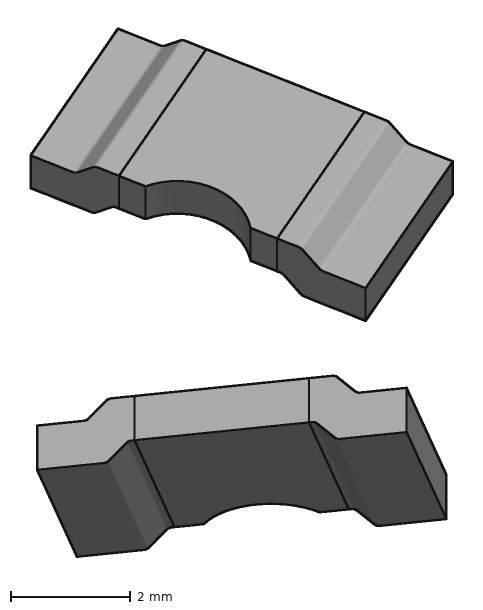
import cadquery as cq
import math

length = 6.35
width = 3.17
height = 1.22
thickness = 0.845

element_length = 3.0
notch_radius = 1.25
notch_depth = 0.495

foot_length = 0.85
bend_angle = 45.0
bend_radius = 0.13

step = height - thickness
ramp_length = step / math.tan(math.radians(bend_angle))
corner_shift = thickness * math.tan(math.radians(bend_angle / 2))


def make_element():
    """Flat raised plate with a round notch in its -Y edge."""
    plate = (
        cq.Workplane("XY", origin=(0, 0, step))
        .rect(element_length, width)
        .extrude(thickness)
    )
    notch_center_y = -width / 2 + notch_depth - notch_radius
    notch = (
        cq.Workplane("XY", origin=(0, notch_center_y, step))
        .circle(notch_radius)
        .extrude(thickness)
    )
    return plate.cut(notch)


def make_terminal(side):
    """Terminal cranked down from the element; side is -1 at -X, +1 at +X."""
    outer = length / 2
    inner = element_length / 2
    upper_bend = outer - foot_length
    lower_bend = upper_bend - corner_shift
    profile = [
        (outer, 0),
        (outer, thickness),
        (upper_bend, thickness),
        (upper_bend - ramp_length, height),
        (inner, height),
        (inner, step),
        (lower_bend - ramp_length, step),
        (lower_bend, 0),
    ]
    bend_corners = [
        (upper_bend, thickness),
        (upper_bend - ramp_length, height),
        (lower_bend - ramp_length, step),
        (lower_bend, 0),
    ]
    terminal = (
        cq.Workplane("XZ", origin=(0, width / 2, 0))
        .polyline([(side * x, z) for x, z in profile])
        .close()
        .extrude(width)
    )
    for x, z in bend_corners:
        edge = cq.selectors.NearestToPointSelector((side * x, 0, z))
        terminal = terminal.edges("|Y").edges(edge).fillet(bend_radius)
    return terminal


element = make_element()
terminals = [make_terminal(side) for side in (-1, 1)]

result = cq.Compound.makeCompound(
    [element.val(), *[terminal.val() for terminal in terminals]]
)